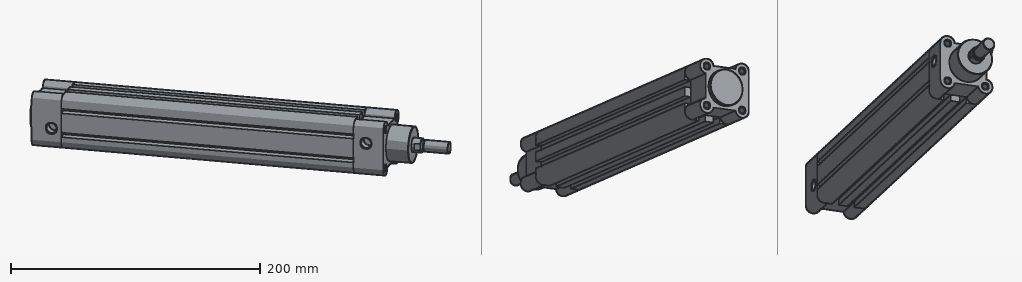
import cadquery as cq


TOTAL_LENGTH = 346.0
BOSS_LENGTH_REAR = 3.5
CAP_LENGTH = 25.0
TUBE_LENGTH = 244.0
BOSS_LENGTH_FRONT = 18.7

TUBE_START = BOSS_LENGTH_REAR + CAP_LENGTH
TUBE_END = TUBE_START + TUBE_LENGTH
CAP_FRONT_FACE = TUBE_END + CAP_LENGTH
BOSS_FRONT_FACE = CAP_FRONT_FACE + BOSS_LENGTH_FRONT

WIDTH = 45.0
HALF_WIDTH = WIDTH / 2
SCREW_OFFSET = 16.3
CORNER_RADIUS = HALF_WIDTH - SCREW_OFFSET
SLOT_DEPTH = 5.2
RECESS_FLOOR = HALF_WIDTH - SLOT_DEPTH

RIB_HALF_WIDTH = 3.8
SLOT_OUTER_EDGE = 9.7

GROOVE_CENTER = 10.0
GROOVE_MOUTH = 3.8
GROOVE_FLOOR = 2.0

BOSS_RADIUS = 15.0
BOSS_CHAMFER = 0.5
SCREW_HOLE_DIAMETER = 5.0
SCREW_HOLE_DEPTH = 14.0
SCREW_HOLE_MOUTH = 6.2
PORT_DIAMETER = 8.3
PORT_MOUTH = 9.7
PORT_DEPTH = 8.5
PORT_HEIGHT = 5.2
REAR_PORT_FROM_TUBE = 8.3
FRONT_PORT_FROM_TUBE = 10.5

ROD_RADIUS = 6.0
ROD_ROUND_LENGTH = 2.5
FLAT_LENGTH = 5.0
FLAT_HALF_WIDTH = 5.2
NECK_RADIUS = 4.5
NECK_TAPER_LENGTH = 1.7
THREAD_RADIUS = 5.0
THREAD_LEAD_IN = 1.0
THREAD_TIP_CHAMFER = 0.5


def section_plane(x):
    """YZ plane at x, with local axes Y and Z and extrusion along +X."""
    return cq.Workplane("YZ", origin=(x, 0, 0))


def screw_corners():
    return [(y, z) for y in (-SCREW_OFFSET, SCREW_OFFSET) for z in (-SCREW_OFFSET, SCREW_OFFSET)]


def make_cap(x_start):
    """Cap block with a round lobe at each screw, recessed between lobes except on the -Y side."""
    core_width = HALF_WIDTH + RECESS_FLOOR
    core_center = (RECESS_FLOOR - HALF_WIDTH) / 2
    cap = section_plane(x_start).center(core_center, 0).rect(core_width, 2 * SCREW_OFFSET).extrude(CAP_LENGTH)
    middle_width = RECESS_FLOOR + SCREW_OFFSET
    middle_center = (RECESS_FLOOR - SCREW_OFFSET) / 2
    middle = section_plane(x_start).center(middle_center, 0).rect(middle_width, 2 * RECESS_FLOOR)
    lobes = section_plane(x_start).pushPoints(screw_corners()).circle(CORNER_RADIUS)
    return cap.union(middle.extrude(CAP_LENGTH)).union(lobes.extrude(CAP_LENGTH))


def blind_hole(diameter, mouth_diameter, depth):
    """Countersunk blind hole along +X, with its mouth in the plane x = 0."""
    radius = diameter / 2
    countersink = (mouth_diameter - diameter) / 2
    outline = [(0, 0), (0, mouth_diameter / 2), (countersink, radius), (depth, radius), (depth, 0)]
    return cq.Workplane("XY").polyline(outline).close().revolve(360, (0, 0, 0), (1, 0, 0))


def cut_screw_holes(cap, face_x, turn):
    """Cut the four screw holes from the end face at face_x; turn aims them into the cap."""
    hole = blind_hole(SCREW_HOLE_DIAMETER, SCREW_HOLE_MOUTH, SCREW_HOLE_DEPTH)
    hole = hole.rotate((0, 0, 0), (0, 0, 1), turn)
    for y, z in screw_corners():
        cap = cap.cut(hole.translate((face_x, y, z)))
    return cap


def cut_port(cap, x, z):
    """Cut the air port into the -Y side."""
    hole = blind_hole(PORT_DIAMETER, PORT_MOUTH, PORT_DEPTH).rotate((0, 0, 0), (0, 0, 1), 90)
    return cap.cut(hole.translate((x, -HALF_WIDTH, z)))


def make_rear_cap():
    boss = section_plane(0).circle(BOSS_RADIUS).extrude(BOSS_LENGTH_REAR)
    boss = boss.faces("<X").chamfer(BOSS_CHAMFER)
    cap = make_cap(BOSS_LENGTH_REAR).union(boss)
    cap = cut_screw_holes(cap, BOSS_LENGTH_REAR, 0)
    return cut_port(cap, TUBE_START - REAR_PORT_FROM_TUBE, -PORT_HEIGHT)


def make_front_cap():
    boss = section_plane(CAP_FRONT_FACE).circle(BOSS_RADIUS).extrude(BOSS_LENGTH_FRONT)
    boss = boss.faces(">X").chamfer(BOSS_CHAMFER)
    cap = make_cap(TUBE_END).union(boss)
    cap = cut_screw_holes(cap, CAP_FRONT_FACE, 180)
    return cut_port(cap, TUBE_END + FRONT_PORT_FROM_TUBE, PORT_HEIGHT)


def make_tube():
    tube = section_plane(TUBE_START).rect(WIDTH, WIDTH).extrude(TUBE_LENGTH)
    tube = tube.edges("|X").fillet(CORNER_RADIUS)
    slot_width = SLOT_OUTER_EDGE - RIB_HALF_WIDTH
    slot_center = (SLOT_OUTER_EDGE + RIB_HALF_WIDTH) / 2
    slot_level = HALF_WIDTH - SLOT_DEPTH / 2
    for side in (-1, 1):
        across = side * slot_center
        top_and_bottom = section_plane(TUBE_START).pushPoints([(across, -slot_level), (across, slot_level)])
        tube = tube.cut(top_and_bottom.rect(slot_width, SLOT_DEPTH).extrude(TUBE_LENGTH))
        back = section_plane(TUBE_START).center(slot_level, across).rect(SLOT_DEPTH, slot_width)
        tube = tube.cut(back.extrude(TUBE_LENGTH))
        center = side * GROOVE_CENTER
        groove = section_plane(TUBE_START).polyline([
            (-HALF_WIDTH, center - GROOVE_MOUTH / 2),
            (-HALF_WIDTH, center + GROOVE_MOUTH / 2),
            (-RECESS_FLOOR, center + GROOVE_FLOOR / 2),
            (-RECESS_FLOOR, center - GROOVE_FLOOR / 2),
        ]).close()
        tube = tube.cut(groove.extrude(TUBE_LENGTH))
    return tube


def make_rod():
    """Rod end with wrench flats, a short neck and a plain round stud of the thread diameter."""
    flat_start = BOSS_FRONT_FACE + ROD_ROUND_LENGTH
    flat_end = flat_start + FLAT_LENGTH
    neck_end = flat_end + NECK_TAPER_LENGTH
    rod = (
        cq.Workplane("XY")
        .polyline([
            (BOSS_FRONT_FACE, 0),
            (BOSS_FRONT_FACE, ROD_RADIUS),
            (flat_end, ROD_RADIUS),
            (flat_end, THREAD_RADIUS),
            (neck_end, NECK_RADIUS),
            (neck_end + THREAD_LEAD_IN, THREAD_RADIUS),
            (TOTAL_LENGTH - THREAD_TIP_CHAMFER, THREAD_RADIUS),
            (TOTAL_LENGTH, THREAD_RADIUS - THREAD_TIP_CHAMFER),
            (TOTAL_LENGTH, 0),
        ])
        .close()
        .revolve(360, (0, 0, 0), (1, 0, 0))
    )
    for side in (-1, 1):
        y = side * (FLAT_HALF_WIDTH + ROD_RADIUS / 2)
        cutter = cq.Workplane("XY").box(FLAT_LENGTH, ROD_RADIUS, 2 * ROD_RADIUS)
        rod = rod.cut(cutter.translate(((flat_start + flat_end) / 2, y, 0)))
    return rod


rear_cap = make_rear_cap()
tube = make_tube()
front_cap = make_front_cap()
rod = make_rod()

result = cq.Compound.makeCompound([rear_cap.val(), tube.val(), front_cap.val(), rod.val()])